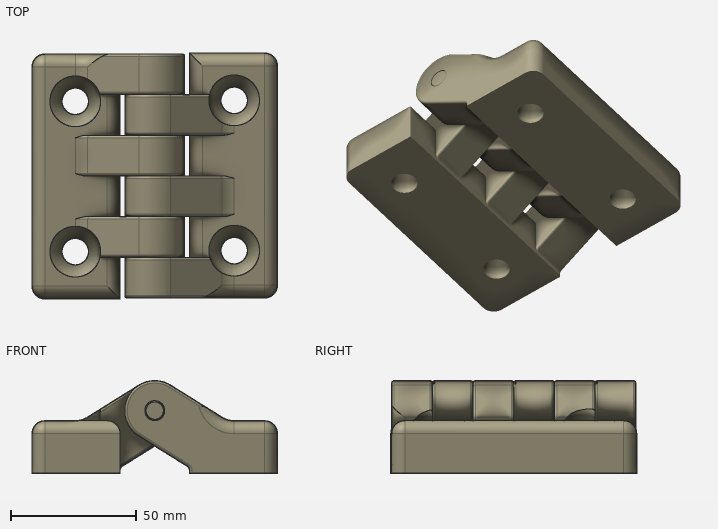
import cadquery as cq
import math

TOTAL_LENGTH = 98.2
LEAF_SHIFT = 0.2
LEAF_LENGTH = TOTAL_LENGTH - 2 * LEAF_SHIFT
LEAF_INNER = 13.8
LEAF_OUTER = 49.0
PLATE_HEIGHT = 21.0
PLATE_ROUND = 5.2
CUT_MARGIN = 1.0

PIN_HEIGHT = 25.0
BARREL_RADIUS = 12.0
ARM_SLOPE = math.radians(32)
ARM_END = 31.7
HEEL_RADIUS = 2.0
EDGE_BREAK = 1.0
KNUCKLE_COUNT = 6
KNUCKLE_SPAN = LEAF_LENGTH - 2 * LEAF_SHIFT
KNUCKLE_WIDTH = KNUCKLE_SPAN / KNUCKLE_COUNT
ARM_FACE = -KNUCKLE_SPAN / 2

PIN_DIAMETER = 8.0
PIN_BREAK = 0.5

HOLE_DIAMETER = 10.5
SINK_DIAMETER = 20.2
SINK_LIP = 1.0
HOLE_PITCH = 60.0
HOLE_X = ARM_END
CUT_TOP = 2 * PLATE_HEIGHT

SLOPE_TAN = math.tan(ARM_SLOPE)
SLOPE_OFFSET = BARREL_RADIUS / math.cos(ARM_SLOPE)
TOP_CORNER_X = (PIN_HEIGHT + SLOPE_OFFSET - PLATE_HEIGHT) / SLOPE_TAN
BLEND_RADIUS = (ARM_END - TOP_CORNER_X) / math.tan(ARM_SLOPE / 2)
BLEND_CENTER_Z = PLATE_HEIGHT + BLEND_RADIUS


def on_circle(center_x, center_z, radius, angle):
    """Point on a circle in the XZ plane, angle measured from +X towards +Z."""
    return (center_x + radius * math.cos(angle), center_z + radius * math.sin(angle))


def plate():
    """Right-hand leaf plate: rounded outer corners and a rounded top rim."""
    body = cq.Workplane("XY").box(
        LEAF_OUTER - LEAF_INNER, LEAF_LENGTH, PLATE_HEIGHT, centered=False
    )
    body = body.translate((LEAF_INNER, LEAF_SHIFT - LEAF_LENGTH / 2, 0))
    body = body.edges("|Z and >X").fillet(PLATE_ROUND)
    return body.faces(">Z").edges().fillet(PLATE_ROUND)


def arm(start_y):
    """One knuckle: barrel, sloped arm, concave blend onto the plate and small heel radius."""
    up = math.pi / 2 - ARM_SLOPE
    tangent_top = on_circle(0, PIN_HEIGHT, BARREL_RADIUS, up)
    tangent_bottom = on_circle(0, PIN_HEIGHT, BARREL_RADIUS, up + math.pi)
    barrel_far = on_circle(0, PIN_HEIGHT, BARREL_RADIUS, up + math.pi / 2)
    blend_start = on_circle(ARM_END, BLEND_CENTER_Z, BLEND_RADIUS, up + math.pi)
    blend_middle = on_circle(
        ARM_END, BLEND_CENTER_Z, BLEND_RADIUS, 1.5 * math.pi - ARM_SLOPE / 2
    )
    heel_corner_z = PIN_HEIGHT - SLOPE_OFFSET - LEAF_INNER * SLOPE_TAN
    heel_setback = HEEL_RADIUS * math.tan(up / 2)
    heel_x = LEAF_INNER - HEEL_RADIUS
    heel_z = heel_corner_z - heel_setback
    heel_middle = on_circle(heel_x, heel_z, HEEL_RADIUS, up / 2)
    heel_end = on_circle(heel_x, heel_z, HEEL_RADIUS, up)

    body = (
        cq.Workplane("XZ")
        .moveTo(ARM_END, 0)
        .lineTo(ARM_END, PLATE_HEIGHT)
        .threePointArc(blend_middle, blend_start)
        .lineTo(*tangent_top)
        .threePointArc(barrel_far, tangent_bottom)
        .lineTo(*heel_end)
        .threePointArc(heel_middle, (LEAF_INNER, heel_z))
        .lineTo(LEAF_INNER, 0)
        .close()
        .extrude(-KNUCKLE_WIDTH)
    )
    rim = body.faces("<Y or >Y").edges("not(<Z or >X)")
    return rim.fillet(EDGE_BREAK).translate((0, start_y, 0))


def end_round_cutter():
    """Carries the plate rim round along the concave blend of the end arm."""
    rim_radius = BLEND_RADIUS + PLATE_ROUND
    outside_y = ARM_FACE - CUT_MARGIN
    inside_y = ARM_FACE + PLATE_ROUND
    diagonal = PLATE_ROUND * math.sqrt(0.5)
    profile = (
        cq.Workplane("XY")
        .moveTo(0, outside_y)
        .lineTo(rim_radius, outside_y)
        .lineTo(rim_radius, ARM_FACE)
        .threePointArc((rim_radius - diagonal, inside_y - diagonal), (BLEND_RADIUS, inside_y))
        .lineTo(0, inside_y)
        .close()
    )
    ring = profile.revolve(90, (0, 0), (0, 1))
    ring = ring.rotate((0, 0, 0), (0, 1, 0), 90)
    return ring.translate((ARM_END, 0, BLEND_CENTER_Z))


def screw_hole_cutters():
    """Through holes with a conical seat, opened straight up so that they clear the arms."""
    seat_z = PLATE_HEIGHT - SINK_LIP
    seat_depth = (SINK_DIAMETER - HOLE_DIAMETER) / 2
    cutter = (
        cq.Workplane("XZ")
        .lineTo(HOLE_DIAMETER / 2, 0)
        .lineTo(HOLE_DIAMETER / 2, seat_z - seat_depth)
        .lineTo(SINK_DIAMETER / 2, seat_z)
        .lineTo(SINK_DIAMETER / 2, CUT_TOP)
        .lineTo(0, CUT_TOP)
        .close()
        .revolve(360, (0, 0), (0, 1))
    )
    near = cutter.translate((HOLE_X, LEAF_SHIFT - HOLE_PITCH / 2, 0))
    return near.union(near.translate((0, HOLE_PITCH, 0)))


def end_arm_clearance():
    """Corner of the plate left to the end arm, so that its rounded heel edge stays open."""
    corner = cq.Workplane("XY").box(
        ARM_END - LEAF_INNER, KNUCKLE_WIDTH / 2, PLATE_HEIGHT, centered=False
    )
    return corner.translate((LEAF_INNER, ARM_FACE, 0))


def leaf():
    """Right-hand leaf: plate, every second knuckle from the front end, and screw holes."""
    body = plate().cut(end_arm_clearance())
    for index in range(0, KNUCKLE_COUNT, 2):
        body = body.union(arm(ARM_FACE + index * KNUCKLE_WIDTH))
    return body.cut(end_round_cutter()).cut(screw_hole_cutters())


def pin_blank():
    """Cylinder on the hinge axis, flush with both end knuckles."""
    body = cq.Workplane("XZ").circle(PIN_DIAMETER / 2).extrude(KNUCKLE_SPAN / 2, both=True)
    return body.translate((0, 0, PIN_HEIGHT))


right_leaf = leaf()
left_leaf = right_leaf.rotate((0, 0, 0), (0, 0, 1), 180)

bore = pin_blank()
pin = bore.faces("<Y or >Y").edges().chamfer(PIN_BREAK)
result = right_leaf.union(left_leaf).cut(bore).union(pin)